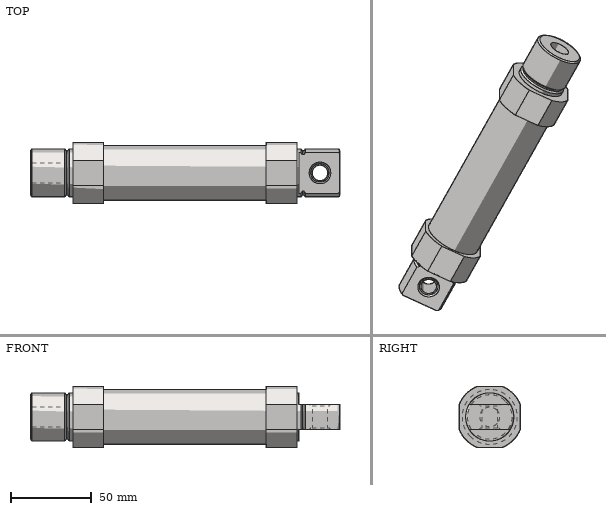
import cadquery as cq
import math

total_length = 191.5
head_size = 38.0
head_flat_width = 15.7
head_length = 19.2
front_head_start = 26.0
rear_head_start = 146.0
front_head_end = front_head_start + head_length
rear_head_end = rear_head_start + head_length
tube_radius = 17.0

spigot_radius = 15.0
spigot_length = 21.0
spigot_end_radius = 13.8
spigot_chamfer_length = 0.8
bore_radius = 6.1
bore_depth = spigot_length

groove_depth = 1.1
groove_wall_length = 1.0
groove_width = 2.9
rear_groove_start = 167.4

collar_length = 1.1
lug_thickness = 15.7
lug_end_fillet = 1.3
pin_x = 179.2
pin_hole_radius = 4.8
pin_recess_radius = 5.7
pin_recess_chamfer = 1.0


def revolved(profile):
    """Revolve a list of (x, radius) points around the X axis."""
    start_x = profile[0][0]
    end_x = profile[-1][0]
    outline = [(start_x, 0), *profile, (end_x, 0)]
    return cq.Workplane("XY").polyline(outline).close().revolve(360, (0, 0, 0), (1, 0, 0))


def groove_points(start, width):
    """Profile points of a relief groove cut into the spigot radius."""
    end = start + width
    floor_radius = spigot_radius - groove_depth
    return [
        (start, spigot_radius),
        (start + groove_wall_length, floor_radius),
        (end - groove_wall_length, floor_radius),
        (end, spigot_radius),
    ]


def head(start):
    """Round head with four flats."""
    corner_radius = math.hypot(head_size, head_flat_width) / 2
    round_blank = cq.Workplane("YZ", origin=(start, 0, 0)).circle(corner_radius).extrude(head_length)
    square = cq.Workplane("YZ", origin=(start, 0, 0)).rect(head_size, head_size).extrude(head_length)
    return round_blank.intersect(square)


def front_spigot():
    spigot = revolved([
        (0, spigot_end_radius),
        (spigot_chamfer_length, spigot_radius),
        *groove_points(spigot_length, groove_width),
        (front_head_start, spigot_radius),
    ])
    bore = cq.Workplane("YZ").circle(bore_radius).extrude(bore_depth)
    return spigot.cut(bore)


def pivot_lug():
    lug_start = rear_head_end + collar_length
    lug = revolved([
        (lug_start, spigot_radius),
        *groove_points(rear_groove_start, groove_width),
        (total_length, spigot_radius),
    ])
    lug = lug.faces(">X").edges().fillet(lug_end_fillet)
    slab = cq.Workplane("XY").box(2 * total_length, head_size, lug_thickness)
    lug = lug.intersect(slab)

    half_thickness = lug_thickness / 2
    mouth_radius = pin_recess_radius + pin_recess_chamfer
    step_height = half_thickness - pin_recess_chamfer
    hole_profile = [
        (0, -half_thickness),
        (mouth_radius, -half_thickness),
        (pin_recess_radius, -step_height),
        (pin_hole_radius, -step_height),
        (pin_hole_radius, step_height),
        (pin_recess_radius, step_height),
        (mouth_radius, half_thickness),
        (0, half_thickness),
    ]
    hole = cq.Workplane("XZ", origin=(pin_x, 0, 0)).polyline(hole_profile).close()
    return lug.cut(hole.revolve(360, (0, 0, 0), (0, 1, 0)))


tube = revolved([(front_head_end, tube_radius), (rear_head_start, tube_radius)])
collar = revolved([(rear_head_end, spigot_radius), (rear_head_end + collar_length, spigot_radius)])

result = (
    front_spigot()
    .union(head(front_head_start))
    .union(tube)
    .union(head(rear_head_start))
    .union(collar)
    .union(pivot_lug())
)